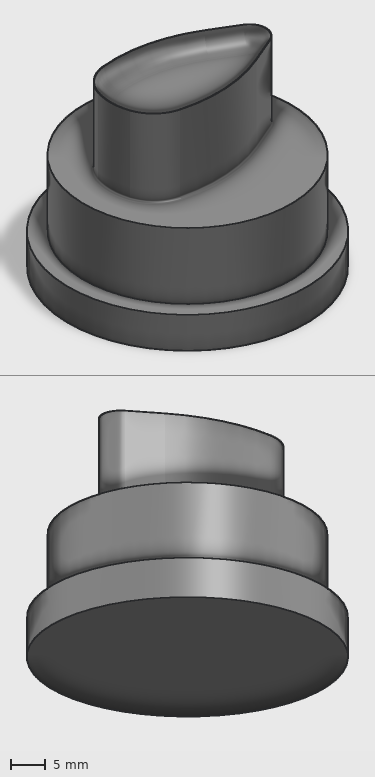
import math

import cadquery as cq

flange_diameter = 46.4
flange_height = 6.12
drum_diameter = 40.45
drum_height = 12.9

total_height = 34.05
dish_radius = 3.1
lip_thickness = 0.1
foot_fillet = 0.5

floor_tip_y = 12.15
floor_bottom_y = -11.85
floor_half_width = 5.4
widest_y = -4.15
tip_half_angle = math.radians(27.3)
corner_radius = 3.95
bottom_radius = 7.4

drum_top = flange_height + drum_height
floor_z = total_height - dish_radius

flank_normal = (math.cos(tip_half_angle), math.sin(tip_half_angle))

flank_radius = (
    (floor_tip_y - widest_y) * flank_normal[1] - floor_half_width * flank_normal[0]
) / (1 - flank_normal[0])
flank_center = (floor_half_width - flank_radius, widest_y)
bottom_center = (0, floor_bottom_y + bottom_radius)


def find_corner_center():
    """Center of the corner arc lying inside and tangent to the flank and bottom arcs."""
    from_flank = flank_radius - corner_radius
    from_bottom = bottom_radius - corner_radius
    dx = bottom_center[0] - flank_center[0]
    dy = bottom_center[1] - flank_center[1]
    spacing = math.hypot(dx, dy)
    along = (from_flank**2 - from_bottom**2 + spacing**2) / (2 * spacing)
    across = math.sqrt(from_flank**2 - along**2)
    return (
        flank_center[0] + (along * dx + across * dy) / spacing,
        flank_center[1] + (along * dy - across * dx) / spacing,
    )


corner_center = find_corner_center()


def point_on_circle(center, radius, angle):
    return (center[0] + radius * math.cos(angle), center[1] + radius * math.sin(angle))


def direction(start, end):
    return math.atan2(end[1] - start[1], end[0] - start[0])


def right_half_path(z, offset=0.0):
    """Right half of the teardrop, grown by offset, from the tip's flank down to the bottom."""
    flank_end_angle = direction(flank_center, corner_center)
    corner_end_angle = direction(bottom_center, corner_center)
    arcs = [
        (flank_center, flank_radius, tip_half_angle, flank_end_angle),
        (corner_center, corner_radius, flank_end_angle, corner_end_angle),
        (bottom_center, bottom_radius, corner_end_angle, -math.pi / 2),
    ]
    path = cq.Workplane("XY", origin=(0, 0, z))
    path = path.moveTo(*point_on_circle((0, floor_tip_y), offset, tip_half_angle))
    path = path.lineTo(*point_on_circle(flank_center, flank_radius + offset, tip_half_angle))
    for center, radius, start_angle, end_angle in arcs:
        middle = point_on_circle(center, radius + offset, (start_angle + end_angle) / 2)
        end = point_on_circle(center, radius + offset, end_angle)
        path = path.threePointArc(middle, end)
    return path


def teardrop(z, height, offset=0.0):
    """Upright teardrop prism; a grown teardrop is rounded about the floor's tip."""
    right = right_half_path(z, offset).wire().val()
    left = right.mirror("YZ")
    edges = right.Edges() + left.Edges()
    if offset > 0:
        tip = (0, floor_tip_y)
        left_angle = math.pi - tip_half_angle
        arc_points = [
            cq.Vector(*point_on_circle(tip, offset, angle), z)
            for angle in (tip_half_angle, math.pi / 2, left_angle)
        ]
        edges.append(cq.Edge.makeThreePointArc(*arc_points))
    outline = cq.Wire.assembleEdges(edges)
    return cq.Workplane(cq.Solid.extrudeLinear(outline, [], cq.Vector(0, 0, height)))


def make_base():
    flange = cq.Workplane("XY").circle(flange_diameter / 2).extrude(flange_height)
    return flange.faces(">Z").workplane().circle(drum_diameter / 2).extrude(drum_height)


def make_boss():
    """Teardrop boss flaring into the drum top with a small fillet around its foot."""
    boss_height = total_height - drum_top
    boss = teardrop(drum_top, boss_height, dish_radius + lip_thickness)
    body = make_base().union(boss)
    reach = drum_diameter / 2 - foot_fillet
    foot_edges = cq.selectors.BoxSelector(
        (-reach, -reach, drum_top - foot_fillet),
        (reach, reach, drum_top + foot_fillet),
        boundingbox=True,
    )
    return body.edges(foot_edges).fillet(foot_fillet)


def dish_section():
    """Quarter-round section outside the floor, square to the right flank at the tip."""
    section_plane = cq.Plane(
        origin=(0, floor_tip_y, total_height),
        xDir=(*flank_normal, 0),
        normal=(flank_normal[1], -flank_normal[0], 0),
    )
    middle = point_on_circle((0, 0), dish_radius, -math.pi / 4)
    return (
        cq.Workplane(section_plane)
        .lineTo(dish_radius, 0)
        .threePointArc(middle, (0, -dish_radius))
        .close()
    )


def make_dish():
    """Flat teardrop floor with a quarter-round wall rising to the rim all round."""
    right_wall = dish_section().sweep(right_half_path(total_height))
    left_wall = right_wall.mirror("YZ")
    tip_turn = 180 - 2 * math.degrees(tip_half_angle)
    tip_wall = dish_section().revolve(tip_turn, (0, 0), (0, 1))
    core = teardrop(floor_z, dish_radius)
    return core.union(right_wall).union(left_wall).union(tip_wall)


result = make_boss().cut(make_dish())